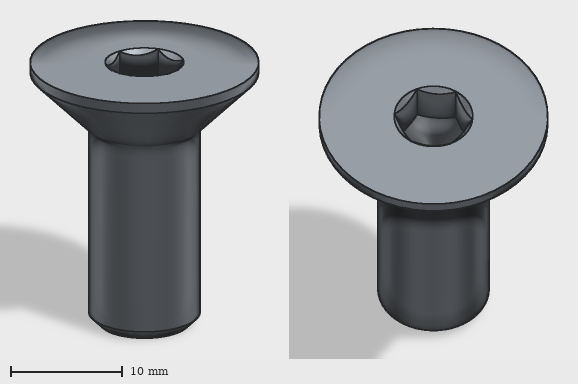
import cadquery as cq
import math

length = 25.0
head_radius = 20.5 / 2
shank_radius = 10.0 / 2
rim_height = 0.95
neck_fillet = 0.4
tip_chamfer = 1.0
selection_margin = 0.25

hex_across_flats = 6.05
mouth_radius = 7.05 / 2
socket_depth = 3.58
floor_tip_radius = 0.5
floor_half_angle = 60.0
mouth_half_angle = 45.0

hex_corner_radius = hex_across_flats / math.sqrt(3)
rim_bottom = length - rim_height
neck_height = rim_bottom - (head_radius - shank_radius)


def make_body():
    """Revolved shank and countersunk head, with the neck rounded."""
    profile = (
        cq.Workplane("XZ")
        .lineTo(shank_radius - tip_chamfer, 0)
        .lineTo(shank_radius, tip_chamfer)
        .lineTo(shank_radius, neck_height)
        .lineTo(head_radius, rim_bottom)
        .lineTo(head_radius, length)
        .lineTo(0, length)
        .close()
    )
    body = profile.revolve(360, (0, 0, 0), (0, 1, 0))
    neck_edge = cq.selectors.BoxSelector(
        (-head_radius, -head_radius, neck_height - selection_margin),
        (head_radius, head_radius, neck_height + selection_margin),
    )
    return body.edges("%CIRCLE").edges(neck_edge).fillet(neck_fillet)


def make_cone(base_radius, end_radius, half_angle, base_height):
    """Truncated cone that narrows downwards from its base."""
    height = (base_radius - end_radius) / math.tan(math.radians(half_angle))
    return cq.Workplane(
        cq.Solid.makeCone(
            base_radius, end_radius, height, cq.Vector(0, 0, base_height), cq.Vector(0, 0, -1)
        )
    )


def make_socket():
    """Hexagon with a chamfered mouth and a blunt conical floor out to its corners."""
    floor_height = length - socket_depth
    floor_cone = make_cone(hex_corner_radius, floor_tip_radius, floor_half_angle, floor_height)
    bore = cq.Workplane("XY", origin=(0, 0, floor_height)).circle(hex_corner_radius).extrude(socket_depth)
    hexagon = cq.Workplane("XY").polygon(6, 2 * hex_corner_radius).extrude(length)
    recess = hexagon.intersect(bore.union(floor_cone))
    mouth = make_cone(mouth_radius, floor_tip_radius, mouth_half_angle, length)
    return recess.union(mouth)


result = make_body().cut(make_socket())